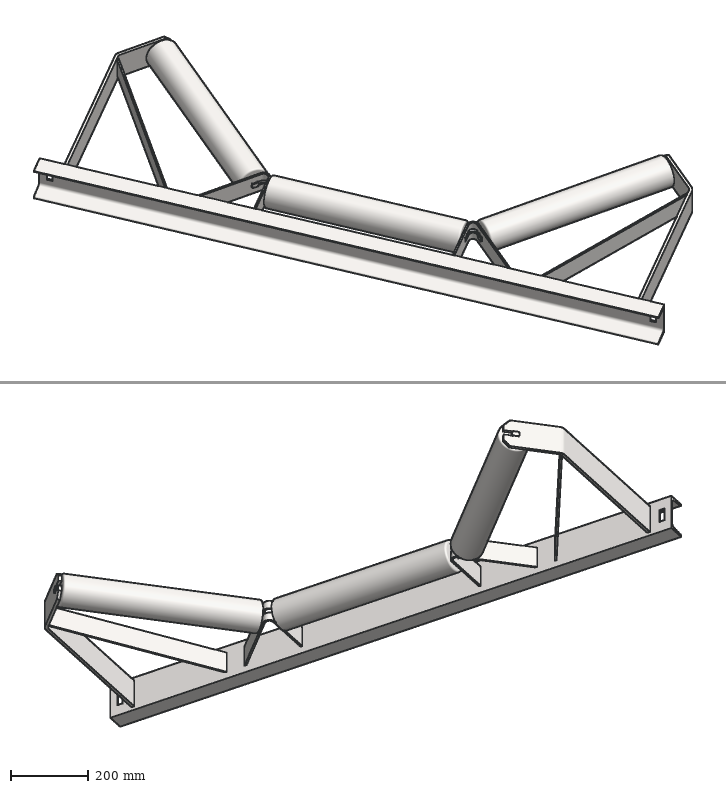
import cadquery as cq
import math

TROUGH_ANGLE = 45.0

BEAM_LENGTH = 1700.0
BEAM_HEIGHT = 100.0
BEAM_DEPTH = 50.0
WEB_THICKNESS = 5.0
FLANGE_TIP_THICKNESS = 5.5
FLANGE_TAPER = 5.0
ROOT_RADIUS = 8.0
TOE_RADIUS = 4.0
MOUNT_SLOT_WIDTH = 15.0
MOUNT_SLOT_LENGTH = 35.0
MOUNT_SLOT_INSET = 29.0

ROLLER_DIAMETER = 88.0
ROLLER_LENGTH = 530.0
ROLLER_EDGE_RADIUS = 5.0
SHAFT_DIAMETER = 20.0
SHAFT_FLATS = 14.0
SIDE_SHAFT_REACH = 279.0
CENTER_ROLLER_Y = 167.0
SIDE_ROLLER_X = 502.0
SIDE_ROLLER_Y = 374.0

OUTER_WIDTH = 80.0
INNER_WIDTH = 60.0
LEG_CLEARANCE = 2.5
OUTER_ARM_CLEARANCE = 3.0
INNER_ARM_CLEARANCE = 5.0
INNER_THICKNESS = 5.0
INNER_BEND_RADIUS = 17.0
OUTER_THICKNESS = 8.0
OUTER_BEND_RADIUS = 20.0
OUTER_LEG_X = 785.0
OUTER_TIP = 32.0
OUTER_TIP_CHAMFER = 17.0
BRACE_THICKNESS = 5.0
BRACE_FOOT_X = 500.0
BRACE_TOP_Y = 475.0

roller_half = ROLLER_LENGTH / 2
cos_trough = math.cos(math.radians(TROUGH_ANGLE))
sin_trough = math.sin(math.radians(TROUGH_ANGLE))


def along_side_roller(along, across):
    """Point on the -X side, from the side roller centre: outward along its axis, and upward across it."""
    return (
        -SIDE_ROLLER_X - along * cos_trough + across * sin_trough,
        SIDE_ROLLER_Y + along * sin_trough + across * cos_trough,
    )


def arm_height_at_x(along, x):
    """Y where the plane square to the side roller axis, at that distance along it, reaches x."""
    base_x, base_y = along_side_roller(along, 0)
    return base_y + (x - base_x) * cos_trough / sin_trough


def arm_x_at_height(along, y):
    """X where the plane square to the side roller axis, at that distance along it, reaches y."""
    base_x, base_y = along_side_roller(along, 0)
    return base_x + (y - base_y) * sin_trough / cos_trough


def flat_bar(points, width):
    """Flat bar whose edge outline is given in XY, centred on Z = 0."""
    return cq.Workplane("XY").polyline(points).close().extrude(width / 2, both=True)


def place_on_side_roller(body):
    """Move a body built along X about the origin onto the -X side roller axis."""
    return body.rotate((0, 0, 0), (0, 0, 1), -TROUGH_ANGLE).translate((-SIDE_ROLLER_X, SIDE_ROLLER_Y, 0))


def make_beam():
    """Channel with filleted roots and toes, and a mounting slot through the web near each end."""
    half_height = BEAM_HEIGHT / 2
    web_y = BEAM_DEPTH - WEB_THICKNESS
    tip_z = half_height - FLANGE_TIP_THICKNESS
    root_z = tip_z - web_y * math.tan(math.radians(FLANGE_TAPER))
    beam = (
        cq.Workplane("YZ")
        .polyline([
            (BEAM_DEPTH, -half_height), (BEAM_DEPTH, half_height), (0, half_height), (0, tip_z),
            (web_y, root_z), (web_y, -root_z), (0, -tip_z), (0, -half_height),
        ])
        .close()
        .extrude(BEAM_LENGTH / 2, both=True)
    )
    for z in (-root_z, root_z):
        beam = beam.edges(cq.NearestToPointSelector((0, web_y, z))).fillet(ROOT_RADIUS)
    for z in (-tip_z, tip_z):
        beam = beam.edges(cq.NearestToPointSelector((0, 0, z))).fillet(TOE_RADIUS)

    slot_x = BEAM_LENGTH / 2 - MOUNT_SLOT_INSET
    slots = (
        cq.Workplane("XZ")
        .pushPoints([(-slot_x, 0), (slot_x, 0)])
        .rect(MOUNT_SLOT_WIDTH, MOUNT_SLOT_LENGTH)
        .extrude(-BEAM_DEPTH)
    )
    return beam.cut(slots)


def make_shaft(reach):
    """Shaft along X about the origin, with flats facing +Z and -Z."""
    shaft = cq.Workplane("YZ", origin=(-reach, 0, 0)).circle(SHAFT_DIAMETER / 2).extrude(2 * reach)
    flats = cq.Workplane("XY").box(2 * reach, SHAFT_DIAMETER, SHAFT_FLATS)
    return shaft.intersect(flats)


def make_roller(reach):
    """Roller along X about the origin, with both shaft ends out to the given distance."""
    drum = (
        cq.Workplane("YZ", origin=(-roller_half, 0, 0))
        .circle(ROLLER_DIAMETER / 2)
        .extrude(ROLLER_LENGTH)
        .faces("<X or >X")
        .fillet(ROLLER_EDGE_RADIUS)
    )
    return drum.union(make_shaft(reach))


leg_face_x = roller_half + LEG_CLEARANCE
leg_back_x = leg_face_x + INNER_THICKNESS
outer_face = roller_half + OUTER_ARM_CLEARANCE
outer_back = outer_face + OUTER_THICKNESS
center_roller = make_roller(leg_back_x).translate((0, CENTER_ROLLER_Y, 0))
center_shaft = make_shaft(leg_back_x).translate((0, CENTER_ROLLER_Y, 0))
side_roller = place_on_side_roller(make_roller(SIDE_SHAFT_REACH))
side_shaft = place_on_side_roller(make_shaft(SIDE_SHAFT_REACH))


def make_inner_bracket():
    """Leg beside the centre roller, folded over into an arm under the side roller."""
    arm_face = -roller_half - INNER_ARM_CLEARANCE
    arm_back = arm_face - INNER_THICKNESS
    outside = flat_bar([
        (-leg_face_x, BEAM_DEPTH),
        (-leg_face_x, arm_height_at_x(arm_face, -leg_face_x)),
        (arm_x_at_height(arm_face, BEAM_DEPTH), BEAM_DEPTH),
    ], INNER_WIDTH).edges("|Z and >Y").fillet(INNER_BEND_RADIUS)
    inside = flat_bar([
        (-leg_back_x, BEAM_DEPTH),
        (-leg_back_x, arm_height_at_x(arm_back, -leg_back_x)),
        (arm_x_at_height(arm_back, BEAM_DEPTH), BEAM_DEPTH),
    ], INNER_WIDTH).edges("|Z and >Y").fillet(INNER_BEND_RADIUS - INNER_THICKNESS)

    arm_slot_x, _ = along_side_roller(arm_back, 0)
    slot = (
        cq.Workplane("XY")
        .box(-arm_slot_x, SIDE_ROLLER_Y - CENTER_ROLLER_Y, SHAFT_FLATS, centered=(False, False, True))
        .translate((arm_slot_x, CENTER_ROLLER_Y, 0))
    )
    return outside.cut(inside).cut(slot).cut(side_shaft).cut(center_shaft)


def make_outer_bracket():
    """Leg at the beam end, bent into an arm that ends in an open slot for the shaft."""
    leg_back = -OUTER_LEG_X
    leg_face = leg_back + OUTER_THICKNESS
    back_corner = (leg_back, arm_height_at_x(outer_back, leg_back))
    face_corner = (leg_face, arm_height_at_x(outer_face, leg_face))
    bracket = flat_bar([
        (leg_back, BEAM_DEPTH), back_corner,
        along_side_roller(outer_back, OUTER_TIP), along_side_roller(outer_face, OUTER_TIP),
        face_corner, (leg_face, BEAM_DEPTH),
    ], OUTER_WIDTH)
    bracket = bracket.edges(cq.NearestToPointSelector((*back_corner, 0))).fillet(OUTER_BEND_RADIUS)
    bracket = (
        bracket.edges(cq.NearestToPointSelector((*face_corner, 0)))
        .fillet(OUTER_BEND_RADIUS - OUTER_THICKNESS)
    )

    tip_x, tip_y = along_side_roller((outer_face + outer_back) / 2, OUTER_TIP)
    for z in (-OUTER_WIDTH / 2, OUTER_WIDTH / 2):
        bracket = bracket.edges(cq.NearestToPointSelector((tip_x, tip_y, z))).chamfer(OUTER_TIP_CHAMFER)

    slot = place_on_side_roller(
        cq.Workplane("XY")
        .box(OUTER_THICKNESS * 2, OUTER_TIP * 2, SHAFT_FLATS, centered=(True, False, True))
        .translate((-(outer_face + outer_back) / 2, 0, 0))
    )
    return bracket.cut(slot).cut(side_shaft)


def make_brace(bracket):
    """Straight brace from the top of the outer leg down to the beam."""
    leg_face = -OUTER_LEG_X + OUTER_THICKNESS
    run = OUTER_LEG_X - OUTER_THICKNESS - BRACE_FOOT_X
    rise = BRACE_TOP_Y - BEAM_DEPTH
    length = math.hypot(run, rise)
    half_foot = BRACE_THICKNESS / 2 * length / rise
    half_top = BRACE_THICKNESS / 2 * length / run
    return flat_bar([
        (leg_face, BRACE_TOP_Y - half_top), (leg_face, BRACE_TOP_Y + half_top),
        (-BRACE_FOOT_X + half_foot, BEAM_DEPTH), (-BRACE_FOOT_X - half_foot, BEAM_DEPTH),
    ], INNER_WIDTH).cut(bracket)


beam = make_beam()
inner_bracket = make_inner_bracket()
outer_bracket = make_outer_bracket()
brace = make_brace(outer_bracket)

bodies = [beam.val(), center_roller.val()]
for body in (side_roller, inner_bracket, outer_bracket, brace):
    bodies.append(body.val())
    bodies.append(body.mirror("YZ").val())

result = cq.Compound.makeCompound(bodies)